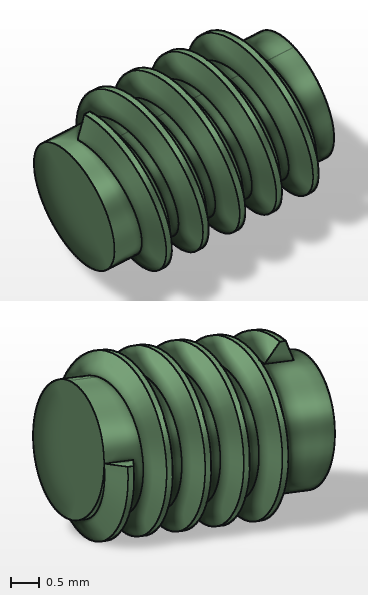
import cadquery as cq

length = 4.76
outer_radius = 1.7
core_radius = 1.27
pitch = 0.795
turns = 4.8
root_width = 0.6
crest_width = 0.125
start_angle = 108.0
embed = 0.048

thread_rise = turns * pitch
thread_start = length - root_width / 2 - thread_rise


def make_core():
    core = cq.Workplane("XY").circle(core_radius).extrude(length)
    return core.rotate((0, 0, 0), (0, 0, 1), -90)


def make_thread():
    """Right-handed trapezoidal ridge around Z, starting at +X and height zero."""
    flank_slope = (root_width - crest_width) / (outer_radius - core_radius)
    base_width = root_width + embed * flank_slope
    helix = cq.Wire.makeHelix(pitch, thread_rise, core_radius)
    profile = (
        cq.Workplane("XZ")
        .moveTo(core_radius - embed, -base_width / 2)
        .lineTo(outer_radius, -crest_width / 2)
        .lineTo(outer_radius, crest_width / 2)
        .lineTo(core_radius - embed, base_width / 2)
        .close()
    )
    return profile.sweep(cq.Workplane(obj=helix), isFrenet=True)


thread = (
    make_thread()
    .rotate((0, 0, 0), (0, 0, 1), -start_angle)
    .translate((0, 0, thread_start))
)

end_trim = cq.Workplane("XY", origin=(0, 0, length)).circle(outer_radius + embed).extrude(pitch)
screw = make_core().union(thread).cut(end_trim)

result = screw.rotate((0, 0, 0), (1, 0, 0), -90)